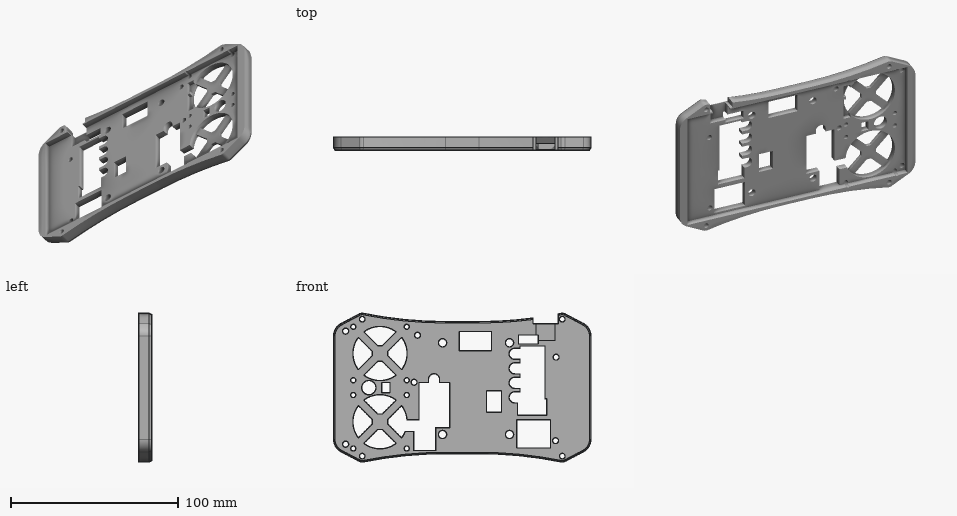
import math
import cadquery as cq

length = 154.2
height = 89.2
depth = 8.0
floor_thickness = 4.2
edge_chamfer_inset = 0.9
edge_chamfer_depth = 1.7
overshoot = 1.0

horn_x = 59.9
horn_radius = 3.6
horn_z = height / 2 - horn_radius
waist_half_height = 39.6
waist_flat_half_length = 10.0
shoulder_angle = math.radians(27.6)
corner_radius = 8.5

cavity_half_length = 72.0
cavity_half_height = 37.5

fan_x = -49.25
fan_z = 20.43
fan_opening_diameter = 32.3
fan_screw_pitch = 32.0
fan_screw_diameter = 2.9
spoke_width = 4.7
spoke_thickness = 2.2
hub_width = 9.5

recess_left, recess_right = -36.2, -31.6
recess_half_height = 11.5
recess_skin = 1.5
recess_rib_bottom, recess_rib_top = 22.4, 24.2

horn_screw_diameter = 3.2
end_screw_x = -69.85
end_screw_z = 33.85
end_screw_diameter = 3.5
standoff_xs = (-11.8, 28.3)
standoff_zs = (26.85, -28.05)
standoff_diameter = 4.8
board_screw_diameter = 3.4
board_screws = [(-26.8, 31.4), (-28.8, 3.25), (56.2, 18.25), (55.85, -31.75)]
cable_hole_x = -55.95
cable_hole_diameter = 8.4

rectangular_windows = [
    (-48.1, -43.4, -3.0, 3.0),
    (-1.7, 17.5, 22.1, 33.6),
    (14.6, 23.5, -14.6, -2.0),
    (32.7, 52.7, -36.1, -19.3),
]
connector_window = (33.7, 45.4, 26.2, 31.5)

battery_left, battery_right = -25.8, -7.6
battery_bottom, battery_top = -23.9, 3.0
battery_foot_left, battery_foot_right = -29.0, -16.0
fan_link_bottom, fan_link_top = -26.2, -19.3
fan_link_left = -36.0
battery_bump_x = -16.9
finger_width = 6.5
battery_bump_top = 8.25

terminal_left, terminal_right = 34.7, 49.5
terminal_bottom, terminal_top = -16.5, 24.9
terminal_foot_left, terminal_foot_right = 33.2, 50.5
terminal_foot_left_top = -7.0
terminal_foot_right_top = -6.7
finger_tip_x = 28.1
finger_count = 4
finger_pitch = 8.69
first_finger_z = 20.25

notch_left, notch_right, notch_bottom = 42.5, 57.4, 38.3
socket_left, socket_right, socket_bottom = 44.3, 55.5, 28.1
socket_skin = 0.4


def block(left, right, bottom, top, front=-overshoot, back=depth + overshoot):
    """Box between the given X, Z and Y limits."""
    size = (right - left, back - front, top - bottom)
    return cq.Workplane("XY").box(*size, centered=False).translate((left, front, bottom))


def through_hole(x, z, diameter):
    """Cylinder along Y, longer than the plate is deep."""
    hole = cq.Workplane("XZ", origin=(x, -overshoot, z)).circle(diameter / 2)
    return hole.extrude(-(depth + 2 * overshoot))


def outline_blank():
    """Solid plate: a quarter outline mirrored about both axes, with its front edge chamfered."""
    run = horn_x - waist_flat_half_length
    drop = horn_z - waist_half_height
    waist_radius = (run**2 + drop**2 - horn_radius**2) / (2 * (horn_radius + drop))
    waist_center_z = waist_half_height + waist_radius
    waist_angle = math.asin(run / (waist_radius + horn_radius))

    def on_waist(angle):
        return (
            waist_flat_half_length + waist_radius * math.sin(angle),
            waist_center_z - waist_radius * math.cos(angle),
        )

    def on_horn(angle):
        return (horn_x + horn_radius * math.sin(angle), horn_z + horn_radius * math.cos(angle))

    shoulder_start_x, shoulder_start_z = on_horn(shoulder_angle)
    half_length = length / 2
    shoulder_end_z = shoulder_start_z - (half_length - shoulder_start_x) * math.tan(shoulder_angle)
    quarter = (
        cq.Workplane("XZ")
        .lineTo(0, waist_half_height)
        .lineTo(waist_flat_half_length, waist_half_height)
        .threePointArc(on_waist(waist_angle / 2), on_waist(waist_angle))
        .threePointArc(on_horn((shoulder_angle - waist_angle) / 2), on_horn(shoulder_angle))
        .lineTo(half_length, shoulder_end_z)
        .lineTo(half_length, 0)
        .close()
        .extrude(-depth)
    )
    corner = cq.selectors.NearestToPointSelector((half_length, depth / 2, shoulder_end_z))
    quarter = quarter.edges("|Y").edges(corner).fillet(corner_radius)
    half = quarter.union(quarter.mirror("YZ"))
    blank = half.union(half.mirror("XY")).clean()
    return blank.faces("<Y").chamfer(edge_chamfer_depth, edge_chamfer_inset)


def fan_grille(center_z):
    """Cutter for one fan: a round opening around a thin spoked cross, and four screw holes."""
    reach = fan_opening_diameter
    half_hub = hub_width / 2
    half_spoke = spoke_width / 2
    half_pitch = fan_screw_pitch / 2
    cross = block(-half_hub, half_hub, -half_hub, half_hub, back=spoke_thickness)
    bar = block(-reach, reach, -half_spoke, half_spoke, back=spoke_thickness)
    for angle in (45, -45):
        cross = cross.union(bar.rotate((0, 0, 0), (0, 1, 0), angle))
    cutter = through_hole(0, 0, fan_opening_diameter).cut(cross)
    for x in (-half_pitch, half_pitch):
        for z in (-half_pitch, half_pitch):
            cutter = cutter.union(through_hole(x, z, fan_screw_diameter))
    return cutter.translate((fan_x, 0, center_z))


def fan_side_recess():
    """Cutters for the two parts of the recess, below and above its rib."""
    bottom = fan_z - recess_half_height
    top = fan_z + recess_half_height
    lower = block(recess_left, recess_right, bottom, recess_rib_bottom, front=recess_skin)
    upper = block(recess_left, recess_right, recess_rib_top, top, front=recess_skin)
    return [lower, upper]


def round_holes():
    """Cutters for all the plain screw, stand-off and cable holes."""
    holes = [through_hole(cable_hole_x, 0, cable_hole_diameter)]
    for side in (-1, 1):
        holes.append(through_hole(end_screw_x, side * end_screw_z, end_screw_diameter))
        for end in (-1, 1):
            holes.append(through_hole(end * horn_x, side * horn_z, horn_screw_diameter))
    for x in standoff_xs:
        for z in standoff_zs:
            holes.append(through_hole(x, z, standoff_diameter))
    for x, z in board_screws:
        holes.append(through_hole(x, z, board_screw_diameter))
    return holes


def battery_opening():
    """Cutter for the stepped opening with a round-topped bump and a link to the lower fan."""
    half_finger = finger_width / 2
    bump_center_z = battery_bump_top - half_finger
    cutter = block(battery_left, battery_right, battery_bottom, battery_top)
    cutter = cutter.union(block(fan_link_left, battery_left, fan_link_bottom, fan_link_top))
    foot = block(battery_foot_left, battery_foot_right, -cavity_half_height, fan_link_bottom)
    neck = block(battery_left, battery_foot_right, fan_link_bottom, battery_bottom)
    bump = block(battery_bump_x - half_finger, battery_bump_x + half_finger, battery_top, bump_center_z)
    tip = through_hole(battery_bump_x, bump_center_z, finger_width)
    return cutter.union(foot).union(neck).union(bump).union(tip)


def terminal_opening():
    """Cutter for the tall opening, its wider foot and its round-ended fingers."""
    half_finger = finger_width / 2
    middle = (terminal_left + terminal_right) / 2
    finger_center_x = finger_tip_x + half_finger
    cutter = block(terminal_left, terminal_right, terminal_bottom, terminal_top)
    cutter = cutter.union(block(terminal_foot_left, middle, terminal_bottom, terminal_foot_left_top))
    cutter = cutter.union(block(middle, terminal_foot_right, terminal_bottom, terminal_foot_right_top))
    for index in range(finger_count):
        z = first_finger_z - index * finger_pitch
        cutter = cutter.union(block(finger_center_x, middle, z - half_finger, z + half_finger))
        cutter = cutter.union(through_hole(finger_center_x, z, finger_width))
    return cutter


def socket_notch():
    """Cutters for the notch through the top edge and for the pocket that leaves a thin front skin."""
    above = height / 2 + overshoot
    notch = block(notch_left, notch_right, notch_bottom, above)
    pocket = block(socket_left, socket_right, socket_bottom, above, front=socket_skin)
    return [notch, pocket]


cavity = block(
    -cavity_half_length, cavity_half_length, -cavity_half_height, cavity_half_height, front=floor_thickness
)
cutters = [cavity, fan_grille(fan_z), fan_grille(-fan_z), battery_opening(), terminal_opening()]
cutters += [block(*limits) for limits in rectangular_windows + [connector_window]]
cutters += round_holes() + fan_side_recess() + socket_notch()

result = outline_blank()
for cutter in cutters:
    result = result.cut(cutter)